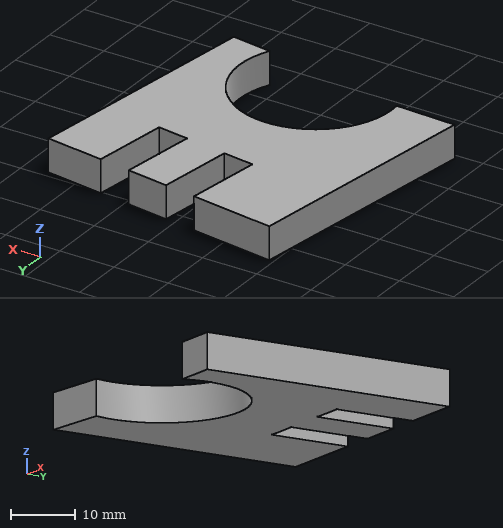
import cadquery as cq
import math

plate_width = 45.25
plate_length = 44.6
thickness = 6.0
tilt = 8.0

slot_count = 2
slot_width = 5.7
slot_depth = 14.05
first_slot_left = 15.4
tongue_width = 7.65
slot_pitch = slot_width + tongue_width

bite_radius = 14.05
bite_x = 24.6
bite_y = -40.0

foot_slope = 5.5
foot_rise = bite_x * math.tan(math.radians(foot_slope))


def make_plate():
    """Plate with its top left corner at the origin and a sloped left foot."""
    outline = [
        (0, 0),
        (plate_width, 0),
        (plate_width, -plate_length),
        (bite_x, -plate_length),
        (bite_x, -plate_length + foot_rise),
        (0, -plate_length),
    ]
    return cq.Workplane("XY").polyline(outline).close().extrude(thickness)


def make_slot(left):
    """Cutter for one slot whose left wall is at the given X."""
    return (
        cq.Workplane("XY")
        .moveTo(left, -slot_depth)
        .rect(slot_width, slot_depth, centered=False)
        .extrude(thickness)
    )


def make_bite():
    """Round cutter that removes the inner end of the sloped foot too."""
    return cq.Workplane("XY").center(bite_x, bite_y).circle(bite_radius).extrude(thickness)


plate = make_plate().cut(make_bite())
for slot_index in range(slot_count):
    plate = plate.cut(make_slot(first_slot_left + slot_index * slot_pitch))

result = plate.rotate((0, 0, 0), (0, 0, 1), -tilt)